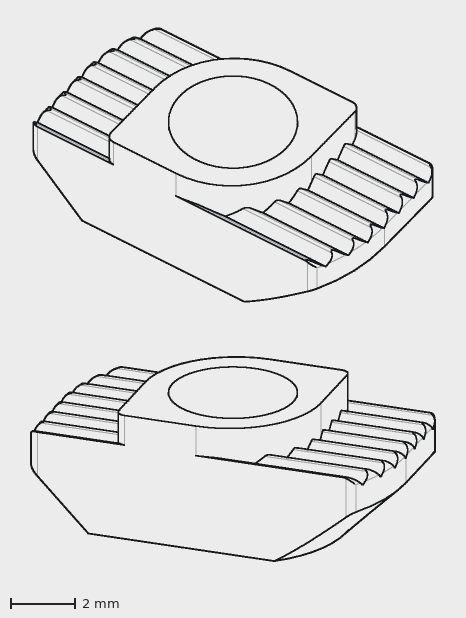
import cadquery as cq
import math

LENGTH = 11.5
WIDTH = 5.7
SHOULDER_HEIGHT = 3.2
BOSS_HEIGHT = 1.0
BEVEL = 2.0
HOLE_DIAMETER = 4.02
CORNER_RADIUS = 0.3
END_ROUND = 0.25
BOSS_ARC_OFFSET = 0.17
TOOTH_PITCH = 0.8
CREST_RADIUS = 0.1

HALF_LENGTH = LENGTH / 2
HALF_WIDTH = WIDTH / 2
TOTAL_HEIGHT = SHOULDER_HEIGHT + BOSS_HEIGHT
BOSS_ARC_RADIUS = HALF_WIDTH + BOSS_ARC_OFFSET
BASE_HALF_LENGTH = HALF_LENGTH - BEVEL
COS_45 = math.sqrt(0.5)
TOOTH_DEPTH = TOOTH_PITCH / 2 - CREST_RADIUS * (math.sqrt(2) - 1)
CREST_COUNT = 2 * math.ceil(HALF_WIDTH / TOOTH_PITCH)


def make_plan():
    """Rectangle whose two opposite corners follow the turning circle."""
    block = cq.Workplane("XY").rect(LENGTH, WIDTH).extrude(SHOULDER_HEIGHT)
    turning_circle = cq.Workplane("XY").circle(HALF_LENGTH).extrude(SHOULDER_HEIGHT)
    square_corners = (
        cq.Workplane("XY")
        .pushPoints([(-HALF_LENGTH / 2, -HALF_WIDTH / 2), (HALF_LENGTH / 2, HALF_WIDTH / 2)])
        .rect(HALF_LENGTH, HALF_WIDTH)
        .extrude(SHOULDER_HEIGHT)
    )
    plan = block.intersect(turning_circle.union(square_corners))
    return plan.edges("|Z").edges(">Y or <Y").fillet(CORNER_RADIUS)


def end_profile(plane):
    """Half section of the wings: 45 degree bevel below, rounded edge above."""
    round_offset = END_ROUND * (1 - COS_45)
    return (
        cq.Workplane(plane)
        .lineTo(BASE_HALF_LENGTH, 0)
        .lineTo(HALF_LENGTH, BEVEL)
        .lineTo(HALF_LENGTH, SHOULDER_HEIGHT - END_ROUND)
        .threePointArc(
            (HALF_LENGTH - round_offset, SHOULDER_HEIGHT - round_offset),
            (HALF_LENGTH - END_ROUND, SHOULDER_HEIGHT),
        )
        .lineTo(0, SHOULDER_HEIGHT)
        .close()
    )


def make_envelope():
    """Conical under the turning arcs and flat under the straight end halves."""
    cone = end_profile("XZ").revolve(360, (0, 0, 0), (0, 1, 0))
    straight_quarter = end_profile("XZ").extrude(-HALF_WIDTH)
    opposite_quarter = straight_quarter.rotate((0, 0, 0), (0, 0, 1), 180)
    return cone.union(straight_quarter).union(opposite_quarter)


def make_grooves():
    """V grooves along X, separated by rounded crests."""
    valley_z = SHOULDER_HEIGHT - TOOTH_DEPTH
    crest_half_width = CREST_RADIUS * COS_45
    flank_top_z = SHOULDER_HEIGHT - CREST_RADIUS * (1 - COS_45)
    first_valley_y = -CREST_COUNT / 2 * TOOTH_PITCH
    section = cq.Workplane("YZ", origin=(-HALF_LENGTH, 0, 0)).moveTo(first_valley_y, valley_z)
    for index in range(CREST_COUNT):
        crest_y = first_valley_y + (index + 0.5) * TOOTH_PITCH
        section = (
            section.lineTo(crest_y - crest_half_width, flank_top_z)
            .threePointArc((crest_y, SHOULDER_HEIGHT), (crest_y + crest_half_width, flank_top_z))
            .lineTo(crest_y + TOOTH_PITCH / 2, valley_z)
        )
    section = section.lineTo(-first_valley_y, TOTAL_HEIGHT).lineTo(first_valley_y, TOTAL_HEIGHT)
    return section.close().extrude(LENGTH)


def make_boss():
    """Boss with two rounded square corners and two large arcs."""
    arc_mid = BOSS_ARC_RADIUS * COS_45 - BOSS_ARC_OFFSET
    boss = (
        cq.Workplane("XY", origin=(0, 0, BEVEL))
        .moveTo(-HALF_WIDTH, -HALF_WIDTH)
        .lineTo(-BOSS_ARC_OFFSET, -HALF_WIDTH)
        .threePointArc((arc_mid, -arc_mid), (HALF_WIDTH, BOSS_ARC_OFFSET))
        .lineTo(HALF_WIDTH, HALF_WIDTH)
        .lineTo(BOSS_ARC_OFFSET, HALF_WIDTH)
        .threePointArc((-arc_mid, arc_mid), (-HALF_WIDTH, -BOSS_ARC_OFFSET))
        .close()
        .extrude(TOTAL_HEIGHT - BEVEL)
    )
    return boss.edges("|Z").edges("<(1, 1, 0) or >(1, 1, 0)").fillet(CORNER_RADIUS)


body = make_plan().intersect(make_envelope()).cut(make_grooves())
hole = cq.Workplane("XY").circle(HOLE_DIAMETER / 2).extrude(TOTAL_HEIGHT)
result = body.union(make_boss()).cut(hole)